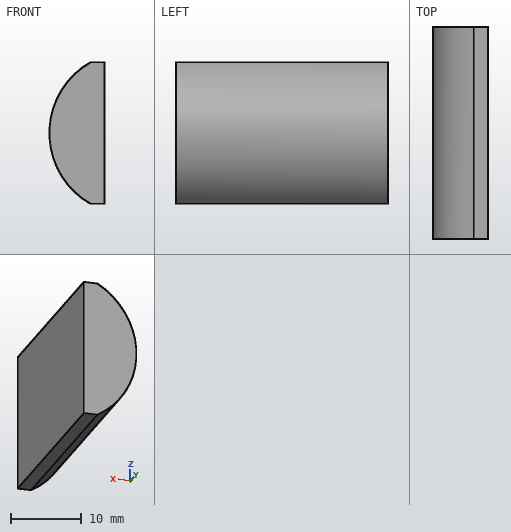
import cadquery as cq

length = 30.0
height = 20.0
thickness = 7.83

edge_width = 2.0

half_height = height / 2
edge_start = thickness - edge_width

profile = (
    cq.Workplane("XZ")
    .moveTo(thickness, -half_height)
    .lineTo(thickness, half_height)
    .lineTo(edge_start, half_height)
    .threePointArc((0, 0), (edge_start, -half_height))
    .close()
)

result = profile.extrude(length / 2, both=True)